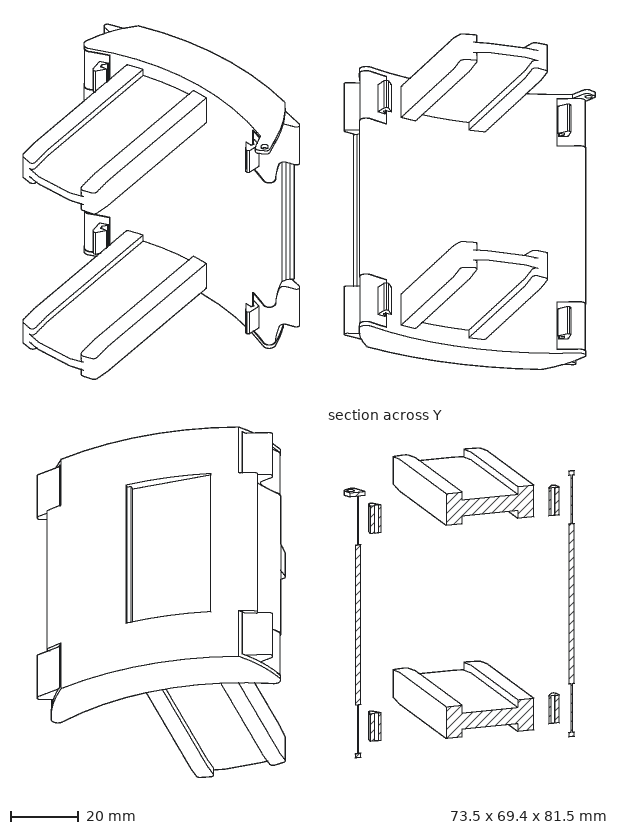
import cadquery as cq
import math

HEIGHT = 81.5
CAP_THICKNESS = 1.3
BAND_HALF_HEIGHT = 24.5
END_HEIGHT = HEIGHT / 2 - CAP_THICKNESS - BAND_HALF_HEIGHT

BACK_RADIUS = 91.7
INNER_RADIUS = 77.7
BACK_HALF_WIDTH = 27.55
CAP_SIDE_BULGE = (32.35, -11.25)
CAP_SIDE_END = (35.4, -18.6)
NOSE_MID = (35.0, -20.9)
NOSE_END_X = 32.5

LIP_BACK_X = 32.3
LIP_TIP = (32.7, -6.6)
LIP_UNDERSIDE = [(31.9, -7.25), (31.1, -8.2), (30.65, -9.7)]
BAND_SIDE_HOLLOW = (32.35, -13.85)
BAND_SIDE_END = (35.2, -18.25)
RECESS_LEFT_X = -19.6
RECESS_RIGHT_X = 6.1
RECESS_FLOOR_Y = -2.85
RECESS_LEDGE_WIDTH = 1.2
RECESS_LEDGE_Y = -1.4
RECESS_OPEN_Y = 0.8

CLIP_INSET = 0.25
CLIP_INNER_X = 26.9
CLIP_BACK_Y = -5.1
CLIP_SIDE_START = (32.0, -12.7)
CLIP_SIDE_HOLLOW = (33.25, -15.3)
WING_TOP_ROOT = [(28.45, CLIP_BACK_Y), (28.7, -5.7), (29.25, -6.1)]
WING_TIP = [(35.8, -8.0), (36.5, -8.9), (35.8, -9.9)]
WING_LOWER_ROOT = (32.9, -10.7)
HOOK_HEIGHT = 8.55
HOOK_CENTRE_Z = 31.9
HOOK_OUTLINE = [
    (30.15, -18.3), (29.4, -23.5), (28.85, -24.05), (28.2, -23.9),
    (26.25, -21.1), (28.3, -21.35), (28.5, -20.4), (27.4, -19.2), (27.4, -17.5),
]

LUG_OUTLINE = [
    (32.6, -16.3), (34.5, -16.3), (35.5, -19.2), (37.25, -24.3), (33.4, -26.5), (31.05, -20.4), (30.15, -18.75),
]
LUG_RADIUS = 1.2
LUG_HOLE = (35.05, -23.5)
LUG_HOLE_DIAMETER = 2.1

LEG_CENTRE_Z = 32.7
LEG_CENTRE_X = -7.9
LEG_WIDTH = 27.55
LEG_HEIGHT = 9.8
FLANGE_WIDTH = 5.05
WEB_HEIGHT = 5.05
WEB_OVERLAP = 2.45
LEG_ROOT_Y = -9.8
LEG_TAPER_Y = -61.3
LEG_END_Y = -69.35
LEG_CORNER_Y = -67.4
LEG_END_FLAT = 11.7
LEG_TAPER = 1.1
LEG_CORNER_RADIUS = 1.2
FLANGE_INNER_RADIUS = 1.15


def arc_y(radius, x):
    """Y at x on an arc of the shell's common centre."""
    return math.sqrt(radius ** 2 - x ** 2) - BACK_RADIUS


def mirrored(point):
    return (-point[0], point[1])


def moved_in(point, inset):
    """The point on the +X side moved towards the middle."""
    return (point[0] - inset, point[1])


def prism(outline, z_bottom, height):
    return outline.extrude(height).translate((0, 0, z_bottom))


def close_around_nose(outline, side_end):
    """From the right side end: right nose, inner arc and left nose."""
    nose_end = (NOSE_END_X, arc_y(INNER_RADIUS, NOSE_END_X))
    return (
        outline.threePointArc(NOSE_MID, nose_end)
        .threePointArc((0, arc_y(INNER_RADIUS, 0)), mirrored(nose_end))
        .threePointArc(mirrored(NOSE_MID), mirrored(side_end))
    )


def cap_outline():
    corner = (BACK_HALF_WIDTH, arc_y(BACK_RADIUS, BACK_HALF_WIDTH))
    outline = (
        cq.Workplane("XY")
        .moveTo(*mirrored(corner))
        .threePointArc((0, 0), corner)
        .threePointArc(CAP_SIDE_BULGE, CAP_SIDE_END)
    )
    outline = close_around_nose(outline, CAP_SIDE_END)
    return outline.threePointArc(mirrored(CAP_SIDE_BULGE), mirrored(corner)).close()


def middle_band():
    lip_back = (LIP_BACK_X, arc_y(BACK_RADIUS, LIP_BACK_X))
    lip_start, lip_middle, lip_end = LIP_UNDERSIDE
    outline = (
        cq.Workplane("XY")
        .moveTo(*mirrored(lip_back))
        .threePointArc((0, 0), lip_back)
        .threePointArc(LIP_TIP, lip_start)
        .lineTo(*lip_middle)
        .lineTo(*lip_end)
        .threePointArc(BAND_SIDE_HOLLOW, BAND_SIDE_END)
    )
    outline = (
        close_around_nose(outline, BAND_SIDE_END)
        .threePointArc(mirrored(BAND_SIDE_HOLLOW), mirrored(lip_end))
        .lineTo(*mirrored(lip_middle))
        .lineTo(*mirrored(lip_start))
        .threePointArc(mirrored(LIP_TIP), mirrored(lip_back))
        .close()
    )
    return prism(outline, -BAND_HALF_HEIGHT, 2 * BAND_HALF_HEIGHT)


def back_recess():
    """Cutter for the recess across the middle band, with a ledge on its right wall."""
    ledge_x = RECESS_RIGHT_X - RECESS_LEDGE_WIDTH
    outline = [
        (RECESS_LEFT_X, RECESS_OPEN_Y), (RECESS_LEFT_X, RECESS_FLOOR_Y), (ledge_x, RECESS_FLOOR_Y),
        (ledge_x, RECESS_LEDGE_Y), (RECESS_RIGHT_X, RECESS_LEDGE_Y), (RECESS_RIGHT_X, RECESS_OPEN_Y),
    ]
    return prism(cq.Workplane("XY").polyline(outline).close(), -BAND_HALF_HEIGHT, 2 * BAND_HALF_HEIGHT)


def hook():
    outline = cq.Workplane("XY").polyline(HOOK_OUTLINE).close()
    return prism(outline, HOOK_CENTRE_Z - HOOK_HEIGHT / 2, HOOK_HEIGHT)


def clip():
    """Clip on the +X side: wing, hollow side, nose and hook."""
    inner_radius = INNER_RADIUS + CLIP_INSET
    nose_end = (NOSE_END_X, arc_y(inner_radius, NOSE_END_X))
    inner_mid_x = (NOSE_END_X + CLIP_INNER_X) / 2
    outline = (
        cq.Workplane("XY")
        .moveTo(CLIP_INNER_X, CLIP_BACK_Y)
        .lineTo(*WING_TOP_ROOT[0])
        .threePointArc(*WING_TOP_ROOT[1:])
        .lineTo(*WING_TIP[0])
        .threePointArc(*WING_TIP[1:])
        .lineTo(*WING_LOWER_ROOT)
        .tangentArcPoint(CLIP_SIDE_START, relative=False)
        .threePointArc(CLIP_SIDE_HOLLOW, moved_in(BAND_SIDE_END, CLIP_INSET))
        .threePointArc(moved_in(NOSE_MID, CLIP_INSET), nose_end)
        .threePointArc(
            (inner_mid_x, arc_y(inner_radius, inner_mid_x)),
            (CLIP_INNER_X, arc_y(inner_radius, CLIP_INNER_X)),
        )
        .close()
    )
    return prism(outline, BAND_HALF_HEIGHT, END_HEIGHT).union(hook())


def end_block():
    """Upper end block with both clips, below the cap."""
    full = prism(cap_outline(), BAND_HALF_HEIGHT, END_HEIGHT)
    depth = 2 * BACK_RADIUS
    core = cq.Workplane("XY").box(2 * CLIP_INNER_X, depth, HEIGHT)
    back = cq.Workplane("XY").box(depth, depth, HEIGHT).translate((0, CLIP_BACK_Y + depth / 2, 0))
    block = full.intersect(core.union(back))
    return block.union(clip()).union(clip().mirror("YZ"))


def top_lug():
    lug = cq.Workplane("XY").polyline(LUG_OUTLINE).close().extrude(CAP_THICKNESS)
    lug = lug.edges("|Z").edges("<Y or >X").fillet(LUG_RADIUS)
    hole = cq.Workplane("XY").center(*LUG_HOLE).circle(LUG_HOLE_DIAMETER / 2).extrude(CAP_THICKNESS)
    return lug.cut(hole).translate((0, 0, HEIGHT / 2 - CAP_THICKNESS))


def tapered_bar(left, right, height):
    """Bar along Y from X = left to right whose top and bottom converge towards its end."""
    half = height / 2
    end_half = half - LEG_TAPER
    side = [
        (LEG_ROOT_Y, -half), (LEG_TAPER_Y, -half), (LEG_END_Y, -end_half),
        (LEG_END_Y, end_half), (LEG_TAPER_Y, half), (LEG_ROOT_Y, half),
    ]
    return cq.Workplane("YZ").polyline(side).close().extrude(right - left).translate((left, 0, 0))


def leg():
    """Upper leg: two flanges joined by a web, with a blunt, tapered end."""
    half = LEG_WIDTH / 2
    inner = half - FLANGE_WIDTH
    flat = LEG_END_FLAT / 2
    plan = [
        (-half, LEG_ROOT_Y), (-half, LEG_CORNER_Y), (-flat, LEG_END_Y),
        (flat, LEG_END_Y), (half, LEG_CORNER_Y), (half, LEG_ROOT_Y),
    ]
    envelope = prism(cq.Workplane("XY").polyline(plan).close(), -LEG_HEIGHT / 2, LEG_HEIGHT)
    web = tapered_bar(-inner - WEB_OVERLAP, inner + WEB_OVERLAP, WEB_HEIGHT).intersect(envelope)
    flange = tapered_bar(inner, half, LEG_HEIGHT).intersect(envelope)
    flange = flange.edges("|Z").edges("<Y").fillet(FLANGE_INNER_RADIUS)
    flange = flange.edges("|Z").edges(">X").edges("<Y").fillet(LEG_CORNER_RADIUS)
    return web.union(flange).union(flange.mirror("YZ")).translate((LEG_CENTRE_X, 0, LEG_CENTRE_Z))


cap = prism(cap_outline(), HEIGHT / 2 - CAP_THICKNESS, CAP_THICKNESS)
upper_end = end_block().union(cap).union(leg())
band = middle_band().cut(back_recess())
result = band.union(upper_end).union(upper_end.mirror("XY")).union(top_lug()).clean()